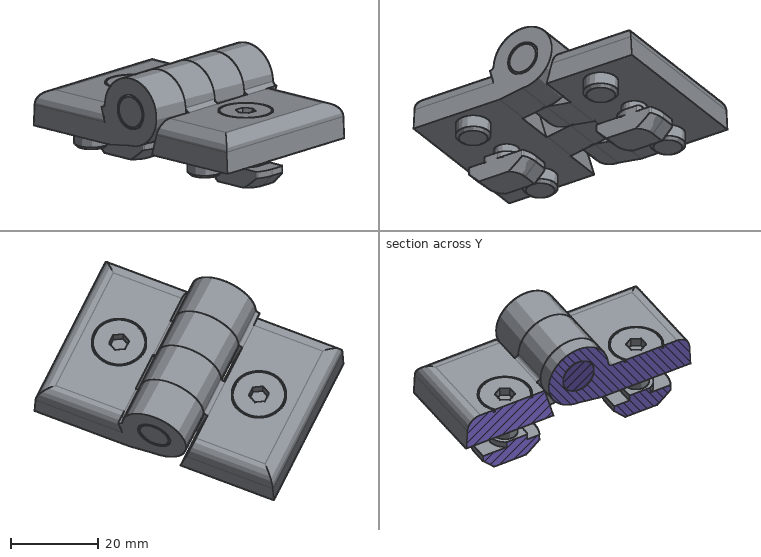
import cadquery as cq
import math

half_length = 30.0
width = 40.0
thickness = 8.5
edge_radius = 3.5
outer_draft = 3.0
plate_end_bottom = 6.6

knuckle_count = 4
knuckle_length = width / knuckle_count
knuckle_diameter = 16.0
knuckle_radius = knuckle_diameter / 2
axis_height = 9.0
root_radius = 1.0
root_reach = knuckle_radius + root_radius
root_drop = axis_height - root_radius - thickness
plate_end_top = math.sqrt(root_reach**2 - root_drop**2)
relief_start = 6.3

pin_diameter = 8.1
pin_chamfer = 0.5

fastener_x = 17.5
boss_spacing = 28.0
boss_diameter = 8.1
boss_tip_diameter = 6.6
boss_height = 3.65
boss_chamfer_height = 0.7

head_diameter = 12.0
head_recess_diameter = 12.6
recess_depth = 0.6
socket_flats = 4.0
socket_depth = 2.1
shank_diameter = 6.0

nut_length = 16.0
nut_width = 8.0
collar_top = 2.5
flange_top = 4.0
slope_top = 5.6
nut_bottom = 8.6
nut_corner_radius = 0.5
collar_corner_radius = 0.85


def plate():
    """Flat part of the left leaf, rounded along the top on its three outer sides."""
    outer_top = half_length - thickness * math.tan(math.radians(outer_draft))
    return (
        cq.Workplane("XZ")
        .moveTo(-half_length, 0)
        .lineTo(-plate_end_bottom, 0)
        .lineTo(-plate_end_top, thickness)
        .lineTo(-outer_top, thickness)
        .close()
        .extrude(width / 2, both=True)
        .faces(">Z")
        .edges("<X or <Y or >Y")
        .fillet(edge_radius)
    )


def knuckle(y_start):
    """One hinge knuckle with the web and root fillet that join it to the left plate."""
    fillet_x = -plate_end_top
    fillet_height = thickness + root_radius
    shrink = knuckle_radius / root_reach
    touch = (fillet_x * shrink, axis_height - root_drop * shrink)
    touch_angle = math.atan2(touch[1] - fillet_height, touch[0] - fillet_x)
    middle_angle = (touch_angle - math.pi / 2) / 2
    middle = (
        fillet_x + root_radius * math.cos(middle_angle),
        fillet_height + root_radius * math.sin(middle_angle),
    )
    profile = (
        cq.Workplane("XZ", origin=(0, y_start, 0))
        .moveTo(0, axis_height - knuckle_radius)
        .lineTo(-relief_start, 0)
        .lineTo(-plate_end_bottom, 0)
        .lineTo(fillet_x, thickness)
        .threePointArc(middle, touch)
        .lineTo(0, axis_height)
        .close()
        .extrude(-knuckle_length)
    )
    barrel = (
        cq.Workplane("XZ", origin=(0, y_start, axis_height))
        .circle(knuckle_radius)
        .extrude(-knuckle_length)
    )
    return barrel.union(profile)


def locating_boss(y):
    """Round boss below the plate, tapered at its tip."""
    return (
        cq.Workplane("XZ")
        .lineTo(boss_diameter / 2, 0)
        .lineTo(boss_diameter / 2, boss_chamfer_height - boss_height)
        .lineTo(boss_tip_diameter / 2, -boss_height)
        .lineTo(0, -boss_height)
        .close()
        .revolve(360, (0, 0, 0), (0, 1, 0))
        .translate((-fastener_x, y, 0))
    )


def opposite_quadrants(side):
    """Two diagonally opposite quadrants of space below the plate; side is the sign of X * Y."""
    size = nut_length
    first = cq.Workplane("XY").box(size, size, size, centered=False)
    both = first.union(first.rotate((0, 0, 0), (0, 0, 1), 180))
    if side < 0:
        both = both.rotate((0, 0, 0), (0, 0, 1), 90)
    return both.translate((0, 0, -size))


def t_nut(collar_side):
    """Hammer nut: a flange and a collar, each with two opposite corners rounded about the axis.

    The collar keeps its square corners in the quadrants where X * Y has the sign of collar_side.
    """
    half = nut_length / 2
    bottom_half = half - (nut_bottom - slope_top)
    block = (
        cq.Workplane("XZ")
        .moveTo(-half, -flange_top)
        .lineTo(half, -flange_top)
        .lineTo(half, -slope_top)
        .lineTo(bottom_half, -nut_bottom)
        .lineTo(-bottom_half, -nut_bottom)
        .lineTo(-half, -slope_top)
        .close()
        .extrude(nut_width / 2, both=True)
    )
    turned = (
        cq.Workplane("XZ")
        .moveTo(0, -flange_top)
        .lineTo(half, -flange_top)
        .lineTo(half, -slope_top)
        .lineTo(bottom_half, -nut_bottom)
        .lineTo(0, -nut_bottom)
        .close()
        .revolve(360, (0, 0, 0), (0, 1, 0))
    )
    flange = block.intersect(turned.union(opposite_quadrants(1)))
    flange = flange.edges("|Z").edges("<Y or >Y").fillet(nut_corner_radius)

    collar_height = flange_top - collar_top
    collar_plane = cq.Workplane("XY", origin=(0, 0, -flange_top))
    square = collar_plane.rect(nut_width, nut_width).extrude(collar_height)
    square = square.edges("|Z").fillet(collar_corner_radius)
    disc = collar_plane.circle(nut_width / 2).extrude(collar_height)
    collar = disc.union(square.intersect(opposite_quadrants(collar_side)))
    return flange.union(collar).translate((-fastener_x, 0, 0))


def screw_shank():
    """Stretch of the screw between the plate and the nut."""
    return cq.Workplane("XY").center(-fastener_x, 0).circle(shank_diameter / 2).extrude(-flange_top)


def screw_head_cut():
    """Narrow groove around the screw head and the hexagon socket in its middle."""
    top = cq.Workplane("XY", origin=(-fastener_x, 0, thickness))
    groove = top.circle(head_recess_diameter / 2).circle(head_diameter / 2).extrude(-recess_depth)
    socket_corners = socket_flats / math.cos(math.pi / 6)
    corner_turn = 30
    socket = top.polygon(6, socket_corners).extrude(-socket_depth)
    socket = socket.rotate((-fastener_x, 0, 0), (-fastener_x, 0, 1), corner_turn)
    return groove.union(socket)


def pin_bore():
    """Cylinder along the hinge axis, used both to bore the knuckles and as the blank of the pin."""
    return (
        cq.Workplane("XZ", origin=(0, 0, axis_height))
        .circle(pin_diameter / 2)
        .extrude(width / 2, both=True)
    )


def hinge_leaf(collar_side):
    """Left leaf with every other knuckle, its bosses, and its fastened screw and nut."""
    leaf = plate()
    for index in range(0, knuckle_count, 2):
        leaf = leaf.union(knuckle(index * knuckle_length - width / 2))
    for side in (-1, 1):
        leaf = leaf.union(locating_boss(side * boss_spacing / 2))
    leaf = leaf.union(screw_shank()).union(t_nut(collar_side))
    return leaf.cut(screw_head_cut()).cut(pin_bore())


def hinge_pin():
    """Pin through all the knuckles, chamfered at both ends."""
    return pin_bore().faces("<Y or >Y").chamfer(pin_chamfer)


leaves = []
for turn, collar_side in ((0, -1), (180, 1)):
    leaves.append(hinge_leaf(collar_side).rotate((0, 0, 0), (0, 0, 1), turn))
pin = hinge_pin()

result = cq.Compound.makeCompound([*[leaf.val() for leaf in leaves], pin.val()])